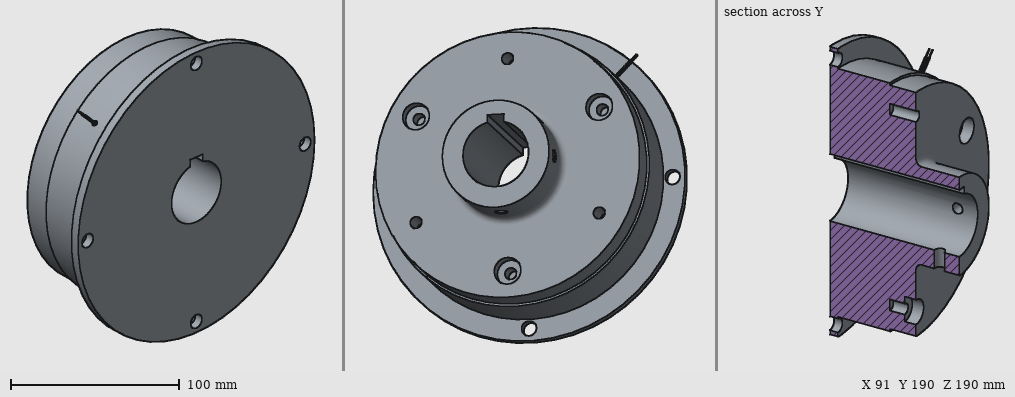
import cadquery as cq
import math

hub_length = 30.4
rotor_end = 48.6
flange_thickness = 5.9
total_length = 91.0
flange_start = total_length - flange_thickness

hub_diameter = 65.0
plate_diameter = 161.0
body_diameter = 164.0
flange_diameter = 190.0
hub_fillet = 4.0

bore_diameter = 39.9
keyway_width = 10.0
keyway_height = 24.0

mount_hole_diameter = 9.0
mount_circle_radius = 87.4
mount_hole_count = 4

plate_hole_count = 6
plate_circle_radius = 64.5
plate_hole_diameter = 7.0
plate_hole_depth = rotor_end - hub_length
counterbore_diameter = 16.2
counterbore_depth = 8.0

set_screw_position = 14.0
set_screw_diameter = 6.8
countersink_diameter = 8.0
countersink_depth = (countersink_diameter - set_screw_diameter) / 2

wire_position = 65.0
wire_angle = 45.0
wire_spacing = 2.3
wire_tip_radius = 100.0
conductor_diameter = 0.5
insulation_diameter = 1.1
insulation_end_radius = 94.6
wire_hole_diameter = 3.2
wire_hole_depth = 2.8
wire_root_overlap = 1.0
wire_hole_floor = body_diameter / 2 - wire_hole_depth
wire_root_radius = wire_hole_floor - wire_root_overlap


def axial_cylinder(diameter, start, end):
    """Cylinder on the X axis between two axial positions."""
    return cq.Workplane("YZ", origin=(start, 0, 0)).circle(diameter / 2).extrude(end - start)


def stepped_body():
    plate_and_rotor = axial_cylinder(plate_diameter, hub_length, rotor_end)
    hub = axial_cylinder(hub_diameter, 0, hub_length)
    front = plate_and_rotor.union(hub)
    hub_edges = front.edges(cq.selectors.RadiusNthSelector(0))
    front = hub_edges.edges(">X").fillet(hub_fillet)
    housing = axial_cylinder(body_diameter, rotor_end, flange_start)
    flange = axial_cylinder(flange_diameter, flange_start, total_length)
    return front.union(housing).union(flange)


def keyed_bore():
    bore = axial_cylinder(bore_diameter, 0, total_length)
    keyway = cq.Workplane("XY").box(
        total_length, keyway_width, keyway_height, centered=(False, True, False)
    )
    return bore.union(keyway)


def mounting_holes():
    return (
        cq.Workplane("YZ", origin=(flange_start, 0, 0))
        .polarArray(mount_circle_radius, 0, 360, mount_hole_count)
        .circle(mount_hole_diameter / 2)
        .extrude(flange_thickness)
    )


def plate_holes():
    plate_face = cq.Workplane("YZ", origin=(hub_length, 0, 0))
    holes = (
        plate_face.polarArray(plate_circle_radius, 90, 360, plate_hole_count)
        .circle(plate_hole_diameter / 2)
        .extrude(plate_hole_depth)
    )
    counterbores = (
        plate_face.polarArray(plate_circle_radius, -90, 360, plate_hole_count // 2)
        .circle(counterbore_diameter / 2)
        .extrude(counterbore_depth)
    )
    return holes.union(counterbores)


def set_screw_hole(direction):
    """Countersunk radial hole from the hub surface to the bore axis."""
    hub_radius = hub_diameter / 2
    start = cq.Vector(set_screw_position, 0, 0)
    surface = start + direction * hub_radius
    hole = cq.Solid.makeCylinder(set_screw_diameter / 2, hub_radius, start, direction)
    countersink = cq.Solid.makeCone(
        countersink_diameter / 2, set_screw_diameter / 2, countersink_depth, surface, direction * -1
    )
    return hole.fuse(countersink)


def radial_rod(diameter, axial_position, inner_radius, outer_radius):
    """Cylinder along the wire direction between two distances from the X axis."""
    angle = math.radians(wire_angle)
    direction = cq.Vector(0, -math.cos(angle), math.sin(angle))
    start = cq.Vector(axial_position, 0, 0) + direction * inner_radius
    rod = cq.Solid.makeCylinder(diameter / 2, outer_radius - inner_radius, start, direction)
    return cq.Workplane(rod)


def wire_hole():
    return radial_rod(wire_hole_diameter, wire_position, wire_hole_floor, wire_tip_radius)


def lead_wire(axial_position):
    """Insulated wire rooted below the hole floor, with a bare conductor at its tip."""
    insulation = radial_rod(
        insulation_diameter, axial_position, wire_root_radius, insulation_end_radius
    )
    conductor = radial_rod(conductor_diameter, axial_position, wire_root_radius, wire_tip_radius)
    return insulation.union(conductor)


result = stepped_body().cut(keyed_bore()).cut(mounting_holes()).cut(plate_holes())
for screw_direction in (cq.Vector(0, -1, 0), cq.Vector(0, 0, -1)):
    result = result.cut(cq.Workplane(set_screw_hole(screw_direction)))
result = result.cut(wire_hole())
for side in (-1, 1):
    result = result.union(lead_wire(wire_position + side * wire_spacing / 2))